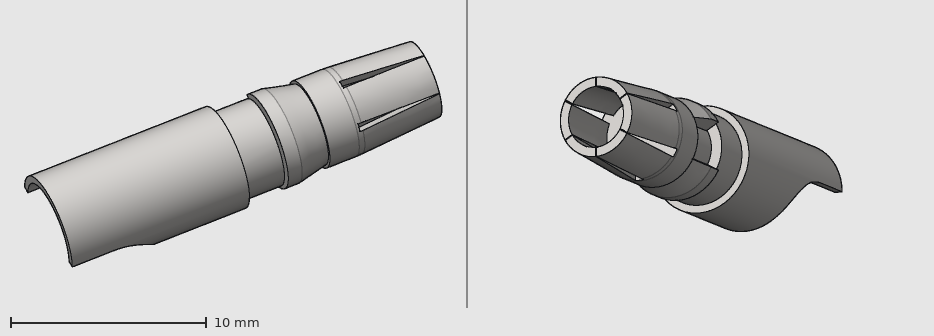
import cadquery as cq
import math

total_length = 21.35
barrel_front = 10.07
groove_rear = 12.25
clip_rear = 12.37
clip_crest = 13.16
groove_front = 14.83
collar_front = 16.5
slot_floor = 16.65
finger_root = 16.82

barrel_diameter = 5.6
cup_diameter = 4.8
body_diameter = 4.8
groove_diameter = 3.6
clip_diameter = 5.2
clip_nose_diameter = 4.46
finger_root_diameter = 4.78
finger_tip_diameter = 4.16
socket_root_diameter = 3.81
socket_tip_diameter = socket_root_diameter - finger_root_diameter + finger_tip_diameter

cup_depth = 8.5
cup_point_angle = 118

notch_front = 5.16
notch_radius = 2.8

clip_gap_half_angle = 29

slot_count = 6
slot_root_width = 0.46
slot_tip_width = 0.04


def revolve_profile(points):
    """Revolve (radius, y) points about the Y axis."""
    return cq.Workplane("XY").polyline(points).close().revolve(360, (0, 0, 0), (0, 1, 0))


def make_body():
    """Solid barrel, grooved collar and tapered finger section."""
    return revolve_profile([
        (0, 0),
        (barrel_diameter / 2, 0),
        (barrel_diameter / 2, barrel_front),
        (body_diameter / 2, barrel_front),
        (body_diameter / 2, groove_rear),
        (groove_diameter / 2, groove_rear),
        (groove_diameter / 2, groove_front),
        (body_diameter / 2, groove_front),
        (body_diameter / 2, collar_front),
        (finger_root_diameter / 2, finger_root),
        (finger_tip_diameter / 2, total_length),
        (0, total_length),
    ])


def make_clip():
    """Split retaining clip seated in the groove, with a wedge-shaped gap towards -X."""
    ring = revolve_profile([
        (groove_diameter / 2, clip_rear),
        (clip_diameter / 2, clip_rear),
        (clip_diameter / 2, clip_crest),
        (clip_nose_diameter / 2, groove_front),
        (groove_diameter / 2, groove_front),
    ])
    gap_reach = clip_diameter
    gap_half_height = gap_reach * math.tan(math.radians(clip_gap_half_angle))
    gap = (
        cq.Workplane("XZ")
        .polyline([(0, 0), (-gap_reach, gap_half_height), (-gap_reach, -gap_half_height)])
        .close()
        .extrude(-total_length)
    )
    return ring.cut(gap)


def make_cup():
    """Wire cup bored from the rear end."""
    cup_radius = cup_diameter / 2
    point_length = cup_radius / math.tan(math.radians(cup_point_angle / 2))
    return revolve_profile([
        (0, 0),
        (cup_radius, 0),
        (cup_radius, cup_depth),
        (0, cup_depth + point_length),
    ])


def make_notch():
    """Cutter that leaves the rear of the barrel as an upper half shell."""
    return (
        cq.Workplane("YZ")
        .moveTo(0, 0)
        .lineTo(notch_front - notch_radius, 0)
        .radiusArc((notch_front, -notch_radius), notch_radius)
        .lineTo(notch_front, -barrel_diameter)
        .lineTo(0, -barrel_diameter)
        .close()
        .extrude(barrel_diameter, both=True)
    )


def make_socket():
    """Blind bore inside the contact fingers, tapering with them to keep an even wall."""
    return revolve_profile([
        (0, slot_floor),
        (socket_root_diameter / 2, slot_floor),
        (socket_tip_diameter / 2, total_length),
        (0, total_length),
    ])


def make_slots():
    """Tapered slots, narrowing towards the tip, evenly spaced about the axis."""
    slot = (
        cq.Workplane("XY")
        .polyline([
            (-slot_root_width / 2, slot_floor),
            (slot_root_width / 2, slot_floor),
            (slot_tip_width / 2, total_length),
            (-slot_tip_width / 2, total_length),
        ])
        .close()
        .extrude(body_diameter)
    )
    slots = slot
    for index in range(1, slot_count):
        slots = slots.union(slot.rotate((0, 0, 0), (0, 1, 0), index * 360 / slot_count))
    return slots


result = make_body().union(make_clip())
for cutter in (make_cup(), make_notch(), make_socket(), make_slots()):
    result = result.cut(cutter)